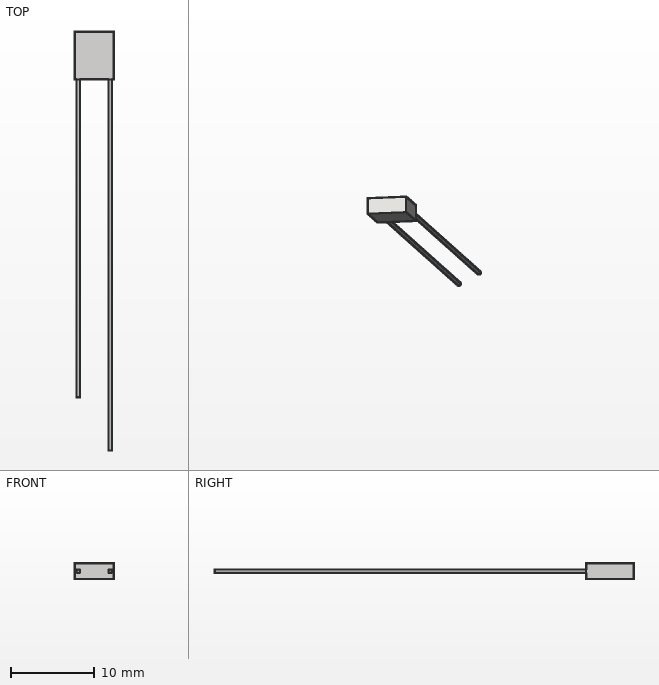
import cadquery as cq

OVERALL_LENGTH = 50.2
CASE_WIDTH = 4.7
CASE_LENGTH = 5.7
CASE_HEIGHT = 1.9

LEAD_DIAMETER = 0.45
LEAD_PITCH = 3.8
LONG_LEAD = OVERALL_LENGTH - CASE_LENGTH
LEAD_STEP = 6.35
SHORT_LEAD = LONG_LEAD - LEAD_STEP

LEADS = [
    (-LEAD_PITCH / 2, SHORT_LEAD),
    (LEAD_PITCH / 2, LONG_LEAD),
]


def make_case():
    """Rectangular case with its front face on Y = 0, centred on X and Z."""
    return cq.Workplane("XY").box(CASE_WIDTH, CASE_LENGTH, CASE_HEIGHT, centered=(True, False, True))


def make_lead(axis_x, length):
    """Straight round wire that butts on the case front and runs toward -Y."""
    return cq.Workplane("XZ").center(axis_x, 0).circle(LEAD_DIAMETER / 2).extrude(length)


case = make_case()
leads = [make_lead(axis_x, length) for axis_x, length in LEADS]

result = cq.Compound.makeCompound([case.val(), *[lead.val() for lead in leads]])